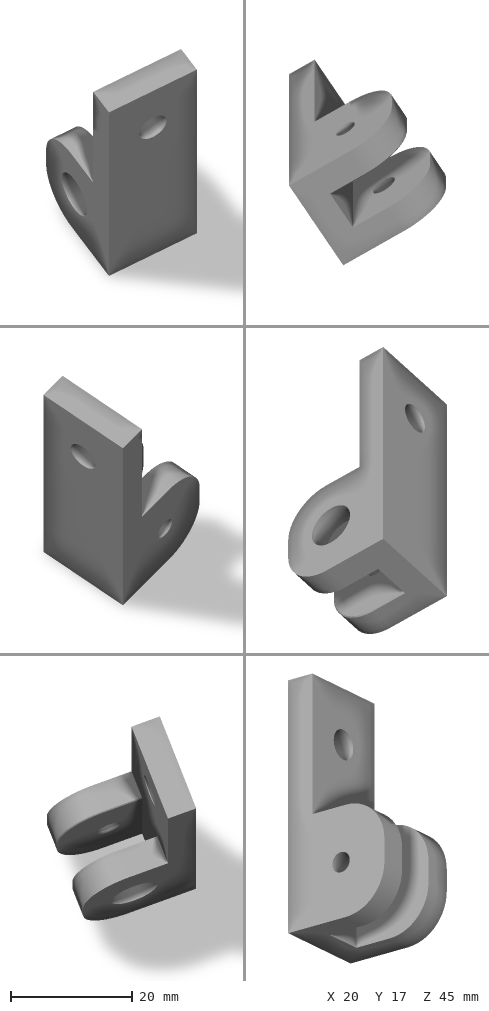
import cadquery as cq

length = 20.0
width = 17.0
height = 45.0

plate_thickness = 5.0
plate_hole_diameter = 5.3
plate_hole_drop = 10.0

ear_thickness = 5.0
ear_height = length
ear_corner_radius = 8.0

pivot_x = 9.0
pivot_z = ear_height / 2
clearance_diameter = 4.28
back_bore_diameter = 3.6
back_bore_chamfer = 0.2
head_diameter = 8.0
head_depth = 4.0


def pivot_cylinder(diameter, start_y, depth):
    """Cylinder on the pivot axis, running toward +Y from start_y."""
    return cq.Workplane("XY").add(
        cq.Solid.makeCylinder(
            diameter / 2, depth, cq.Vector(pivot_x, start_y, pivot_z), cq.Vector(0, 1, 0)
        )
    )


def make_ear(start_y):
    """Ear with its two free corners rounded."""
    return (
        cq.Workplane("XY")
        .box(length, ear_thickness, ear_height, centered=False)
        .edges("|Y and <X")
        .fillet(ear_corner_radius)
        .translate((0, start_y, 0))
    )


def make_plate():
    """Upright plate with a mounting hole near its top."""
    plate = cq.Workplane("XY").box(plate_thickness, width, height, centered=False)
    hole = cq.Solid.makeCylinder(
        plate_hole_diameter / 2,
        plate_thickness,
        cq.Vector(0, width / 2, height - plate_hole_drop),
        cq.Vector(1, 0, 0),
    )
    return plate.cut(cq.Workplane("XY").add(hole)).translate((length - plate_thickness, 0, 0))


def make_front_ear():
    """Front ear, counterbored for a screw head and clearing its shank."""
    return (
        make_ear(0)
        .cut(pivot_cylinder(head_diameter, 0, head_depth))
        .cut(pivot_cylinder(clearance_diameter, 0, ear_thickness))
    )


def make_back_ear():
    """Back ear with a narrower through bore, chamfered where it meets the gap."""
    start_y = width - ear_thickness
    ear = make_ear(start_y).cut(pivot_cylinder(back_bore_diameter, start_y, ear_thickness))
    return ear.faces("<Y").edges("%CIRCLE").chamfer(back_bore_chamfer)


result = make_plate().union(make_front_ear()).union(make_back_ear())